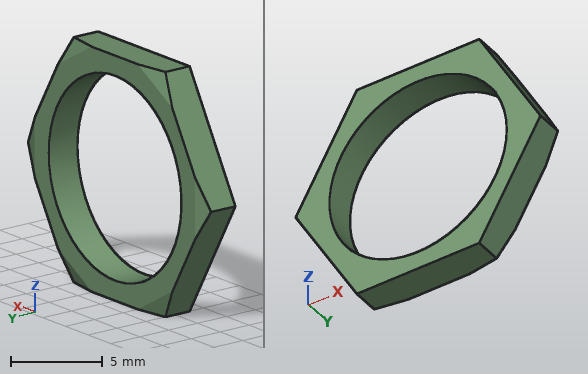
import cadquery as cq
import math

across_flats = 14.0
thickness = 2.0
bore_diameter = 11.7

corner_count = 6
across_corners = across_flats / math.cos(math.pi / corner_count)
side_length = across_corners / 2
half_corner_angle = math.pi / 2 - math.pi / corner_count

bevel_setback = side_length / 4
bevel_radial = bevel_setback * math.cos(half_corner_angle)
bevel_drop = 0.315


def hexagonal_blank():
    """Hexagonal prism from Y = 0 to Y = thickness."""
    return cq.Workplane("XZ").polygon(corner_count, across_corners).extrude(-thickness)


def corner_cutter():
    """Triangular wedge that bevels the +Y end of the corner on +X.

    Its section is twice the size of the bevel, so that it reaches past the corner.
    """
    inner_x = across_corners / 2 - bevel_radial
    outer_x = inner_x + 2 * bevel_radial
    return (
        cq.Workplane("XY")
        .moveTo(inner_x, thickness)
        .lineTo(outer_x, thickness)
        .lineTo(outer_x, thickness - 2 * bevel_drop)
        .close()
        .extrude(side_length / 2, both=True)
    )


def bevel_corners(nut):
    """Cut the same wedge from every corner around the Y axis."""
    cutter = corner_cutter()
    for corner in range(corner_count):
        angle = corner * 360 / corner_count
        nut = nut.cut(cutter.rotate((0, 0, 0), (0, 1, 0), angle))
    return nut


def bore():
    """Through hole along Y."""
    return cq.Workplane("XZ").circle(bore_diameter / 2).extrude(-thickness)


result = bevel_corners(hexagonal_blank()).cut(bore())